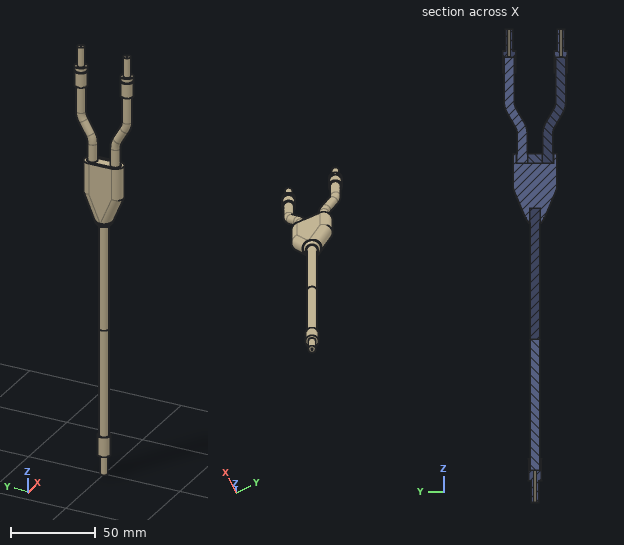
import cadquery as cq
import math

top_z = 139.5
bottom_z = -139.5
overall_width = 38.3

cable_radius = 3.0

sleeve_radius = 4.0
sleeve_length = 12.8
tip_radius = 2.2
tip_length = 12.8
tip_bore_radius = 0.5
branch_grip = 9.2
trunk_grip = 6.7
groove_width = 0.5
groove_depth = 0.3
groove_setback = 3.0

yoke_radius = 5.3
yoke_top_z = 66.2
yoke_knee_z = 46.0
yoke_apex_z = 28.2
neck_shoulder_z = 27.0
neck_bottom_z = 25.0
neck_end_radius = 3.5
trunk_socket = 5.5

lid_thickness = 5.5
yoke_wall = 2.0

root_y = 7.5
bend_top_z = 97.0
bend_bottom_z = 77.5
bend_angle = math.radians(30)

trunk_joint_z = -43.5

branch_y = overall_width / 2 - sleeve_radius
yoke_width = 2 * (root_y + yoke_radius)
lid_radius = yoke_radius - yoke_wall
lid_bottom_z = yoke_top_z - lid_thickness
branch_sleeve_front_z = top_z - tip_length
branch_end_z = branch_sleeve_front_z - sleeve_length + branch_grip
trunk_sleeve_front_z = bottom_z + tip_length
trunk_end_z = trunk_sleeve_front_z + sleeve_length - trunk_grip

SIDES = (-1, 1)


def rod(radius, low_z, high_z):
    """Round rod on the Z axis."""
    return cq.Workplane("XY").workplane(offset=low_z).circle(radius).extrude(high_z - low_z)


def stadium(width, radius, low_z, high_z):
    """Upright block with rounded ends, long in Y."""
    plane = cq.Workplane("XY").workplane(offset=low_z)
    return plane.slot2D(width, 2 * radius, 90).extrude(high_z - low_z)


def make_branch_cable(side):
    """Cable swept along a vertical, an S-bend of two equal arcs, and a vertical."""
    rise = bend_top_z - bend_bottom_z
    shift = branch_y - root_y
    excess = rise * math.sin(bend_angle) - shift * math.cos(bend_angle)
    bend_radius = excess / (2 * (1 - math.cos(bend_angle)))

    def arc_offset(angle):
        return bend_radius * (1 - math.cos(angle)), bend_radius * math.sin(angle)

    half_y, half_z = arc_offset(bend_angle / 2)
    full_y, full_z = arc_offset(bend_angle)
    path = (
        cq.Workplane("YZ")
        .moveTo(side * root_y, lid_bottom_z)
        .lineTo(side * root_y, bend_bottom_z)
        .threePointArc(
            (side * (root_y + half_y), bend_bottom_z + half_z),
            (side * (root_y + full_y), bend_bottom_z + full_z),
        )
        .lineTo(side * (branch_y - full_y), bend_top_z - full_z)
        .threePointArc(
            (side * (branch_y - half_y), bend_top_z - half_z),
            (side * branch_y, bend_top_z),
        )
        .lineTo(side * branch_y, branch_end_z)
    )
    start = cq.Workplane("XY", origin=(0, side * root_y, lid_bottom_z))
    return start.circle(cable_radius).sweep(path)


def make_upper_trunk():
    return rod(cable_radius, trunk_joint_z, yoke_apex_z + trunk_socket)


def make_lower_trunk():
    return rod(cable_radius, trunk_end_z, trunk_joint_z)


def make_connector(grip):
    sleeve = rod(sleeve_radius, -sleeve_length, 0)
    tip = rod(tip_radius, 0, tip_length)
    socket = rod(cable_radius, -sleeve_length, grip - sleeve_length)
    bore = rod(tip_bore_radius, grip - sleeve_length, tip_length)
    return sleeve.union(tip).cut(socket).cut(bore)


def make_branch_connector(side):
    low_z = -groove_setback - groove_width / 2
    high_z = low_z + groove_width
    groove = rod(sleeve_radius, low_z, high_z).cut(rod(sleeve_radius - groove_depth, low_z, high_z))
    connector = make_connector(branch_grip).cut(groove)
    return connector.translate((0, side * branch_y, branch_sleeve_front_z))


def make_trunk_connector():
    connector = make_connector(trunk_grip).rotate((0, 0, 0), (1, 0, 0), 180)
    return connector.translate((0, 0, trunk_sleeve_front_z))


def make_yoke_side(side):
    """Rounded side: a vertical cylinder mitred to one that leans in to the apex."""
    path = (
        cq.Workplane("YZ")
        .moveTo(side * root_y, yoke_top_z)
        .lineTo(side * root_y, yoke_knee_z)
        .lineTo(0, yoke_apex_z)
    )
    start = cq.Workplane("XY", origin=(0, side * root_y, yoke_top_z))
    return start.circle(yoke_radius).sweep(path, transition="right")


def make_yoke():
    web = (
        cq.Workplane("YZ")
        .moveTo(-root_y, yoke_top_z)
        .lineTo(root_y, yoke_top_z)
        .lineTo(root_y, yoke_knee_z)
        .lineTo(0, yoke_apex_z)
        .lineTo(-root_y, yoke_knee_z)
        .close()
        .extrude(yoke_radius, both=True)
    )
    above_apex = stadium(yoke_width, yoke_radius, yoke_apex_z, yoke_top_z)
    body = web
    for side in SIDES:
        body = body.union(make_yoke_side(side).intersect(above_apex))
    shoulder = rod(yoke_radius, neck_shoulder_z, yoke_apex_z)
    cone = (
        cq.Workplane("XY")
        .workplane(offset=neck_bottom_z)
        .circle(neck_end_radius)
        .workplane(offset=neck_shoulder_z - neck_bottom_z)
        .circle(yoke_radius)
        .loft()
    )
    lid_pocket = stadium(2 * (root_y + lid_radius), lid_radius, lid_bottom_z, yoke_top_z)
    trunk_hole = rod(cable_radius, neck_bottom_z, yoke_apex_z + trunk_socket)
    return body.union(shoulder).union(cone).cut(lid_pocket).cut(trunk_hole)


def make_lid():
    lid = stadium(2 * (root_y + lid_radius), lid_radius, lid_bottom_z, yoke_top_z)
    for side in SIDES:
        hole = rod(cable_radius, lid_bottom_z, yoke_top_z)
        lid = lid.cut(hole.translate((0, side * root_y, 0)))
    return lid


yoke = make_yoke()
lid = make_lid()
upper_trunk = make_upper_trunk()
lower_trunk = make_lower_trunk()
trunk_connector = make_trunk_connector()
branch_cables = [make_branch_cable(side) for side in SIDES]
branch_connectors = [make_branch_connector(side) for side in SIDES]

bodies = [yoke, lid, upper_trunk, lower_trunk, trunk_connector, *branch_cables, *branch_connectors]
result = cq.Compound.makeCompound([body.solids().val() for body in bodies])